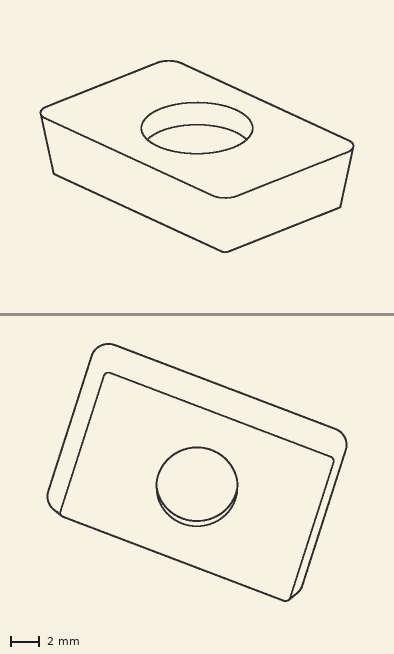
import cadquery as cq
import math

length = 19.81
width = 12.7
height = 4.85
slant = 4.1
relief = 10.8
corner_radius = 1.25
rim_drop = 0.1

plateau_length = 15.33
plateau_width = 8.58
plateau_radius = 1.25

end_facet = 2.67
side_facet = 1.47
acute_blend = 1.53
obtuse_blend = 0.6
rim_split = 0.55
plateau_split = 0.65

mouth_diameter = 7.8
seat_diameter = 7.6
throat_diameter = 5.69
seat_depth = 1.7
throat_depth = 3.57

rim_z = height - rim_drop
lean = math.radians(slant)
end_direction = cq.Vector(math.sin(lean), math.cos(lean), 0)


def corner_arc(span, depth, radius, z, side):
    """Return the lower corner arc, anticlockwise; side -1 is acute and +1 is obtuse.

    Span is the full X extent of the rounded outline.
    """
    half_depth = depth / 2
    acute_x = -span / 2 + radius
    center_y = -half_depth + radius
    row_shift = 2 * center_y * math.tan(lean)
    center_x = acute_x if side < 0 else -acute_x + row_shift
    start = math.pi - lean if side < 0 else -math.pi / 2
    end = 3 * math.pi / 2 if side < 0 else -lean

    def point(fraction):
        angle = start + fraction * (end - start)
        return cq.Vector(center_x + radius * math.cos(angle), center_y + radius * math.sin(angle), z)

    return point


def arc_edge(arc, first=0.0, last=1.0):
    return cq.Edge.makeThreePointArc(arc(first), arc((first + last) / 2), arc(last))


def opposite(point):
    return cq.Vector(-point.x, -point.y, point.z)


def rim_edges():
    acute = corner_arc(length, width, corner_radius, rim_z, -1)
    obtuse = corner_arc(length, width, corner_radius, rim_z, 1)
    facet_top = acute(0) + end_direction * end_facet
    facet_start = obtuse(0) - cq.Vector(side_facet, 0, 0)
    return [
        cq.Edge.makeLine(facet_top, acute(0)),
        arc_edge(acute),
        cq.Edge.makeLine(acute(1), facet_start),
        cq.Edge.makeLine(facet_start, obtuse(0)),
        arc_edge(obtuse, 0, rim_split),
        arc_edge(obtuse, rim_split, 1),
        cq.Edge.makeLine(obtuse(1), opposite(facet_top)),
    ]


def plateau_edges():
    acute = corner_arc(plateau_length, plateau_width, plateau_radius, height, -1)
    obtuse = corner_arc(plateau_length, plateau_width, plateau_radius, height, 1)
    blend_start = acute(1) + cq.Vector(acute_blend, 0, 0)
    blend_end = obtuse(1) + end_direction * obtuse_blend
    return [
        arc_edge(acute),
        cq.Edge.makeLine(acute(1), blend_start),
        cq.Edge.makeLine(blend_start, obtuse(0)),
        arc_edge(obtuse, 0, plateau_split),
        arc_edge(obtuse, plateau_split, 1),
        cq.Edge.makeLine(obtuse(1), blend_end),
        cq.Edge.makeLine(blend_end, opposite(acute(0))),
    ]


def full_turn(edges):
    """Complete an outline from its lower half; the part repeats after half a turn."""
    return edges + [edge.rotate(cq.Vector(0, 0, 0), cq.Vector(0, 0, 1), 180) for edge in edges]


def plain_outline(span, depth, radius, z):
    acute = corner_arc(span, depth, radius, z, -1)
    obtuse = corner_arc(span, depth, radius, z, 1)
    lower_half = [
        arc_edge(acute),
        cq.Edge.makeLine(acute(1), obtuse(0)),
        arc_edge(obtuse),
        cq.Edge.makeLine(obtuse(1), opposite(acute(0))),
    ]
    return full_turn(lower_half)


def ruled_solid(lower_edges, upper_edges):
    """Close a solid whose walls join the two outlines edge by edge."""
    walls = [cq.Face.makeRuledSurface(low, up) for low, up in zip(lower_edges, upper_edges)]
    floor = cq.Face.makeFromWires(cq.Wire.assembleEdges(lower_edges))
    roof = cq.Face.makeFromWires(cq.Wire.assembleEdges(upper_edges))
    return cq.Workplane(cq.Solid.makeSolid(cq.Shell.makeShell(walls + [floor, roof])))


def make_body():
    """Relieved body below the cutting edge; all flanks lean inwards equally."""
    inset = rim_z * math.tan(math.radians(relief))
    base = plain_outline(length - 2 * inset, width - 2 * inset, corner_radius - inset, 0)
    return ruled_solid(base, plain_outline(length, width, corner_radius, rim_z))


def make_rake():
    """Sloping facets from the cutting edge up to the plateau."""
    return ruled_solid(full_turn(rim_edges()), full_turn(plateau_edges()))


def make_screw_hole():
    """Slightly tapered mouth and convex seat that runs tangent into the throat."""
    throat_radius = throat_diameter / 2
    seat_rise = throat_depth - seat_depth
    seat_step = (seat_diameter - throat_diameter) / 2
    seat_radius = (seat_rise**2 + seat_step**2) / (2 * seat_step)
    half_angle = math.asin(seat_rise / seat_radius) / 2
    seat_middle = (
        throat_radius + seat_radius * (1 - math.cos(half_angle)),
        height - throat_depth + seat_radius * math.sin(half_angle),
    )
    profile = (
        cq.Workplane("XZ")
        .lineTo(throat_radius, 0)
        .lineTo(throat_radius, height - throat_depth)
        .threePointArc(seat_middle, (seat_diameter / 2, height - seat_depth))
        .lineTo(mouth_diameter / 2, height)
        .lineTo(0, height)
        .close()
    )
    return profile.revolve(360, (0, 0, 0), (0, 1, 0))


result = make_body().union(make_rake()).cut(make_screw_hole())